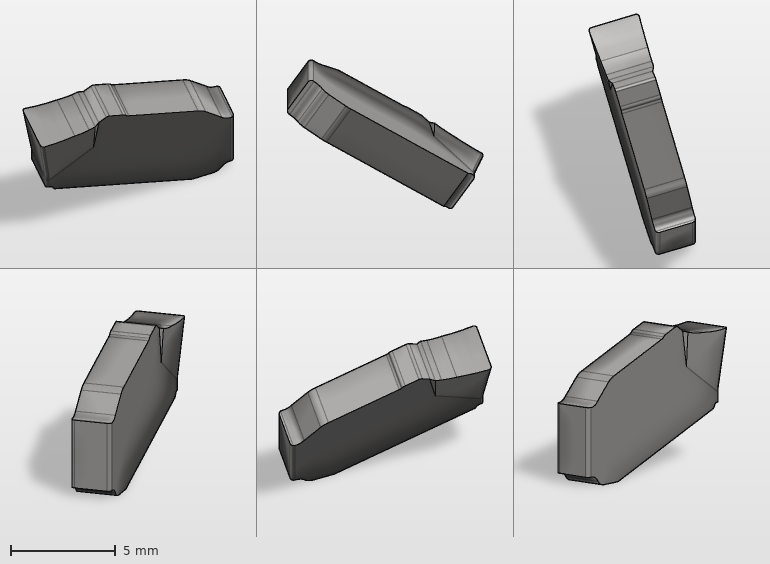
import cadquery as cq

length = 10.0
body_half_width = 1.01
tip_half_width = 1.4
back_z_low = 0.5
back_z_high = 3.88
heel_y = 0.34
heel_z_low = 2.84
heel_z_high = 3.55
tip_z = 6.43
peak_z = 6.93
front_edge_radius = 0.15
back_edge_radius = 0.19

apex_y = 2.77
apex_z = 4.88
flare_per_y = 0.05
flare_per_z = 0.075
ridge_y_per_z = 0.023
rear_facet_slope = 1.83
tail_inset = 0.2
head_z_low = 2.7
head_z_high = 7.1
head_front_y = -0.1
edge_margin = 0.01


def plate(half_width):
    """Side outline in the YZ plane, extruded evenly to both sides of x = 0."""
    outline = (
        cq.Workplane("YZ")
        .moveTo(0, tip_z)
        .lineTo(heel_y, heel_z_high)
        .lineTo(heel_y, heel_z_low)
        .lineTo(0.5, heel_z_low)
        .threePointArc((0.63, 2.79), (0.7, 2.68))
        .lineTo(0.77, 2.57)
        .lineTo(7.62, 0.08)
        .threePointArc((7.77, 0.02), (7.92, 0))
        .lineTo(8.92, 0)
        .threePointArc((9.13, 0.07), (9.3, 0.22))
        .threePointArc((9.5, 0.42), (9.78, back_z_low))
        .lineTo(length, back_z_low)
        .lineTo(length, back_z_high)
        .lineTo(9.89, back_z_high)
        .threePointArc((9.56, 3.94), (9.34, 4.12))
        .lineTo(8.52, 4.94)
        .threePointArc((8.39, 5.05), (8.13, 5.18))
        .lineTo(4.58, 6.47)
        .threePointArc((4.51, 6.5), (4.45, 6.56))
        .threePointArc((4.37, 6.63), (4.28, 6.67))
        .lineTo(3.59, 6.92)
        .threePointArc((3.51, peak_z), (3.42, 6.9))
        .lineTo(3.04, 6.66)
        .lineTo(2.81, 6.59)
        .lineTo(2.5, 6.5)
        .threePointArc((2.13, 6.44), (1.75, 6.42))
        .threePointArc((0.81, 6.37), (0, tip_z))
        .close()
    )
    return outline.extrude(half_width, both=True)


def head_section(z):
    """Corners of the flared head in the horizontal plane at height z."""
    ridge_y = apex_y + ridge_y_per_z * (z - apex_z)

    def flank_x(y):
        return body_half_width + flare_per_y * (apex_y - y) + flare_per_z * (z - apex_z)

    front_x = flank_x(head_front_y)
    ridge_x = flank_x(ridge_y)
    tail_y = ridge_y + rear_facet_slope * tail_inset
    tail_x = ridge_x - tail_inset
    return [
        (front_x, head_front_y),
        (ridge_x, ridge_y),
        (tail_x, tail_y),
        (-tail_x, tail_y),
        (-ridge_x, ridge_y),
        (-front_x, head_front_y),
    ]


def head_envelope():
    """Solid with flat flanks and rear facets that limits the width of the head."""
    return (
        cq.Workplane("XY", origin=(0, 0, head_z_low))
        .polyline(head_section(head_z_low))
        .close()
        .workplane(offset=head_z_high - head_z_low)
        .polyline(head_section(head_z_high))
        .close()
        .loft(ruled=True, combine=True)
    )


def on_cutting_front(edge):
    """True for the rising side edges of the front relief and heel."""
    box = edge.BoundingBox()
    return box.ymax < heel_y + edge_margin and box.zlen > edge_margin


def round_front(solid):
    """Round the side edges that border the cutting face."""
    return solid.edges().filter(on_cutting_front).fillet(front_edge_radius)


body = plate(body_half_width).faces(">Y").edges("|Z").fillet(back_edge_radius)
body = round_front(body)

head = round_front(plate(tip_half_width).intersect(head_envelope()))

result = body.union(head)